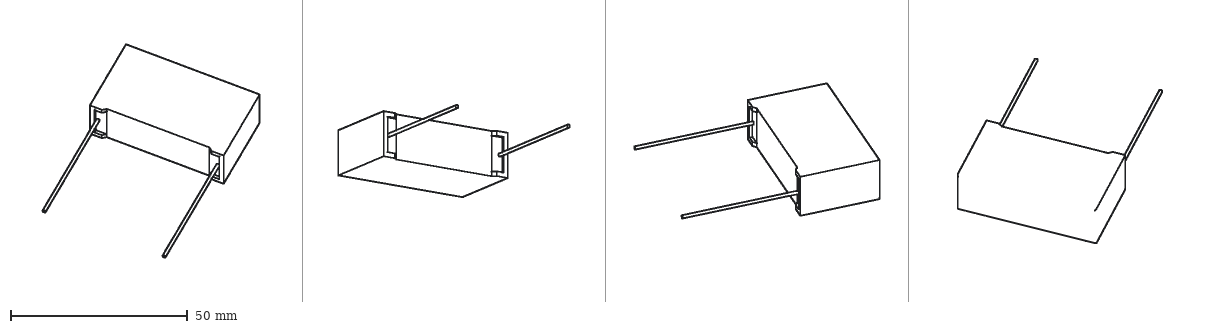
import cadquery as cq

TOTAL_LENGTH = 59.1
CASE_WIDTH = 41.8
CASE_LENGTH = 24.2
CASE_HEIGHT = 13.3

WALL = 1.4
BACK_FILLET = 0.5
FOOT_WIDTH = 3.8
FOOT_SLOPE = 1.05
FOOT_HEIGHT = 0.9

LEAD_DIAMETER = 1.0
LEAD_PITCH = 37.45

FACE_Y = FOOT_HEIGHT
LEAD_TIP_Y = CASE_LENGTH - TOTAL_LENGTH
HALF_WIDTH = CASE_WIDTH / 2
BRIDGE_HALF_WIDTH = HALF_WIDTH - FOOT_WIDTH - FOOT_SLOPE
CAVITY_WIDTH = CASE_WIDTH - 2 * WALL
CAVITY_HEIGHT = CASE_HEIGHT - 2 * WALL


def block(width, height, y_start, y_end):
    """Box centred on X and Z, running from y_start to y_end."""
    return (
        cq.Workplane("XY")
        .box(width, y_end - y_start, height, centered=(True, False, True))
        .translate((0, y_start, 0))
    )


def make_cavity():
    """Inside of the case: a full-width space with an opening at each foot."""
    inside = block(CAVITY_WIDTH, CAVITY_HEIGHT, 0, CASE_LENGTH - WALL)
    bridge = block(2 * BRIDGE_HALF_WIDTH, CAVITY_HEIGHT, 0, FACE_Y + WALL)
    return inside.cut(bridge)


def make_case():
    """Box with rounded back edges, two feet and a bridge wall between them."""
    body = block(CASE_WIDTH, CASE_HEIGHT, 0, CASE_LENGTH)
    body = body.faces(">Y").edges().fillet(BACK_FILLET)
    foot_edge = HALF_WIDTH - FOOT_WIDTH
    recess = (
        cq.Workplane("XY")
        .workplane(offset=-CASE_HEIGHT / 2)
        .moveTo(-foot_edge, 0)
        .lineTo(-BRIDGE_HALF_WIDTH, FACE_Y)
        .lineTo(BRIDGE_HALF_WIDTH, FACE_Y)
        .lineTo(foot_edge, 0)
        .close()
        .extrude(CASE_HEIGHT)
    )
    return body.cut(recess).cut(make_cavity())


def make_resin():
    """Resin that fills the cavity up to the level of the bridge wall."""
    return make_cavity().cut(block(CASE_WIDTH, CASE_HEIGHT, 0, FACE_Y))


def make_lead(x):
    """Straight round wire standing on the resin."""
    return (
        cq.Workplane("XZ", origin=(x, FACE_Y, 0))
        .circle(LEAD_DIAMETER / 2)
        .extrude(FACE_Y - LEAD_TIP_Y)
    )


case = make_case()
resin = make_resin()
leads = [make_lead(side * LEAD_PITCH / 2) for side in (-1, 1)]

result = cq.Compound.makeCompound([case.val(), resin.val(), *[lead.val() for lead in leads]])